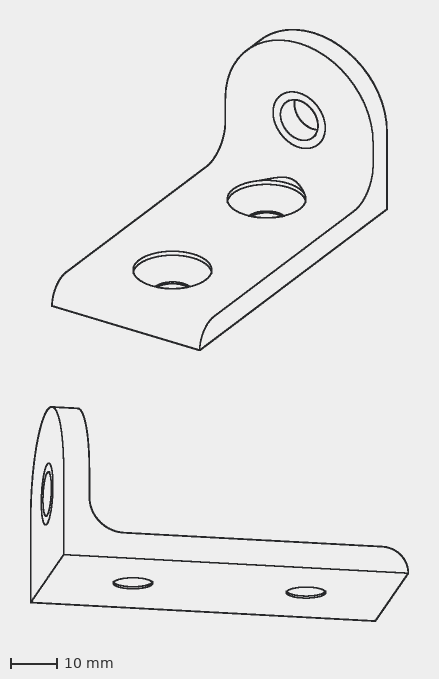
import cadquery as cq

length = 76.2
width = 37.9
height = 38.1
thickness = 5.7
inner_fillet_radius = 7.6
nose_radius = thickness
lobe_radius = width / 2
lobe_center_z = height - lobe_radius

screw_hole_diameter = 8.5
screw_head_diameter = 17.1
head_recess_depth = 1.0
screw_hole_from_back = 19.0
screw_hole_spacing = 38.2
flare_height = 2.3
flare_spread = 1.8

bushing_outer_diameter = 13.4
bushing_bore_diameter = 9.6


def make_blank():
    """L-shaped blank with a rounded nose, before the upright is rounded."""
    upright_face_y = length - thickness
    return (
        cq.Workplane("YZ")
        .moveTo(0, 0)
        .lineTo(length, 0)
        .lineTo(length, height)
        .lineTo(upright_face_y, height)
        .lineTo(upright_face_y, thickness + inner_fillet_radius)
        .radiusArc((upright_face_y - inner_fillet_radius, thickness), inner_fillet_radius)
        .lineTo(nose_radius, thickness)
        .radiusArc((0, thickness - nose_radius), -nose_radius)
        .close()
        .extrude(width / 2, both=True)
    )


def make_upright_envelope():
    """Round-topped outline of the upright, swept along the whole length."""
    return (
        cq.Workplane("XZ")
        .moveTo(-width / 2, 0)
        .lineTo(width / 2, 0)
        .lineTo(width / 2, lobe_center_z)
        .threePointArc((0, height), (-width / 2, lobe_center_z))
        .close()
        .extrude(-length)
    )


def make_screw_hole_cutter(center_y):
    """Straight hole, 45 degree cone, head recess and flare, on one vertical axis."""
    hole_radius = screw_hole_diameter / 2
    head_radius = screw_head_diameter / 2
    cone_top_z = thickness - head_recess_depth
    cone_bottom_z = cone_top_z - (head_radius - hole_radius)
    flare_top_z = thickness + flare_height
    profile = (
        cq.Workplane("XZ")
        .moveTo(0, 0)
        .lineTo(hole_radius, 0)
        .lineTo(hole_radius, cone_bottom_z)
        .lineTo(head_radius, cone_top_z)
        .lineTo(head_radius, thickness)
        .lineTo(head_radius + flare_spread, flare_top_z)
        .lineTo(0, flare_top_z)
        .close()
    )
    return profile.revolve(360, (0, 0, 0), (0, 1, 0)).translate((0, center_y, 0))


def make_cross_cylinder(diameter):
    """Cylinder along Y through the upright, on the axis of its round top."""
    return (
        cq.Workplane("XZ")
        .center(0, lobe_center_z)
        .circle(diameter / 2)
        .extrude(-length)
    )


def make_bracket(solid_bracket):
    bracket = solid_bracket.cut(make_cross_cylinder(bushing_outer_diameter))
    back_hole_y = length - screw_hole_from_back
    for center_y in (back_hole_y, back_hole_y - screw_hole_spacing):
        bracket = bracket.cut(make_screw_hole_cutter(center_y))
    return bracket


def make_bushing(solid_bracket):
    """Bushing trimmed flush with the upright, including the inner fillet."""
    plug = make_cross_cylinder(bushing_outer_diameter).intersect(solid_bracket)
    return plug.cut(make_cross_cylinder(bushing_bore_diameter))


solid_bracket = make_blank().intersect(make_upright_envelope())
bracket = make_bracket(solid_bracket)
bushing = make_bushing(solid_bracket)

result = cq.Compound.makeCompound([*bracket.vals(), *bushing.vals()])